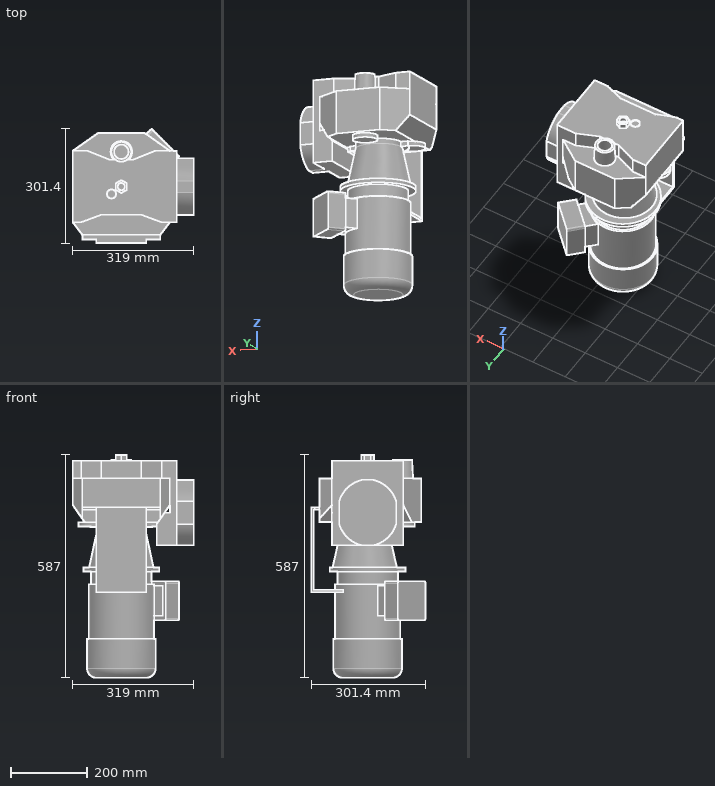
import cadquery as cq
import math


HOUSING_HALF_X = 128.0
HOUSING_HALF_Y = 94.0
HOUSING_TOP = 137.0
HOUSING_BOTTOM = -25.0
WING_TOP = 90.0
WING_FRONT_Y = -127.2
WING_FRONT_HALF_X = 102.7
WING_BACK_Y = 141.3
WING_BACK_HALF_X = 61.0

SLANT_TOP_Z = 20.0
SLANT_RUN_PER_RISE = 0.70
SLANT_BOTTOM_HALF_X = HOUSING_HALF_X - SLANT_RUN_PER_RISE * (SLANT_TOP_Z - HOUSING_BOTTOM)

FRONT_WAIST_Y = -74.3
FRONT_WAIST_INNER_HALF_X = 53.0
FRONT_WAIST_OUTER_HALF_X = 106.0
BACK_WAIST_Y = 70.0
BACK_WAIST_INNER_HALF_X = 29.5
BACK_WAIST_OUTER_HALF_X = 88.5

BLOCK_END_X = 146.0
BLOCK_FOOT_X = 92.7
BLOCK_STEP_Z = 0.0
FLANGE_END_X = 191.0
FLANGE_WIDTH = 150.0
FLANGE_HEIGHT = 172.0
FLANGE_SIDE_FLAT = 60.0
FLANGE_END_FLAT = 31.0
FLANGE_CORNER_RADIUS = 82.0
BLOCK_BOTTOM = -FLANGE_HEIGHT / 2

HEX_ACROSS_FLATS = 29.5
HEX_HEIGHT = 15.0
HEX_BORE_RADIUS = 9.5
RECESS_X = -25.8
RECESS_Y = -19.5
RECESS_RADIUS = 12.0
RECESS_DEPTH = 3.0
TUBE_Y = 91.5
TUBE_TOP = 139.0
TUBE_BASE_RADIUS = 28.5
TUBE_TOP_RADIUS = 26.0
TUBE_BORE_RADIUS = 19.0

PAD_CENTERS = ((0.0, TUBE_Y), (-80.0, -46.5), (80.0, -46.5))
PAD_RADIUS = 33.0
PAD_BOTTOM = -36.5
ADAPTER_Y = -7.7
ADAPTER_TOP_RADIUS = 62.0
ADAPTER_FOOT_RADIUS = 85.0
COLLAR_RADIUS = 82.0
COLLAR_BOTTOM = -38.0

MOTOR_TOP = -144.0
MOTOR_FLANGE_BOTTOM = -155.0
NECK_BOTTOM = -188.0
CAP_TOP = -332.0
OVERALL_HEIGHT = 587.0
MOTOR_BOTTOM = HOUSING_TOP + HEX_HEIGHT - OVERALL_HEIGHT
MOTOR_FLANGE_RADIUS = 100.0
NECK_RADIUS = 80.0
FRAME_RADIUS = 86.5
CAP_RADIUS = 90.8
CAP_FILLET = 26.0

BOX_ANGLE = 45.0
BOX_SIZE = 103.0
BOX_INNER = 114.5
BOX_OUTER = 164.0
BOX_CENTER_Z = -231.7
BOX_CORNER_RADIUS = 5.0
PEDESTAL_SIZE = 80.0
PEDESTAL_START = 60.0

BRACKET_OUTER_Y = -149.0
BRACKET_THICKNESS = 7.5
BRACKET_HALF_X = 66.0
BRACKET_TOP = 14.8
BRACKET_BOTTOM = -210.0
LIP_OUTER_Y = -139.8
FOOT_TIP_Y = -64.4
FOOT_MOTOR_GAP = 0.5
FOOT_NOTCH_Y = -(FRAME_RADIUS + FOOT_MOTOR_GAP)
FOOT_NOTCH_HALF_X = 33.5


def box_between(x_range, y_range, z_range):
    """Box spanning the given (low, high) ranges."""
    (x0, x1), (y0, y1), (z0, z1) = x_range, y_range, z_range
    return cq.Workplane("XY").box(x1 - x0, y1 - y0, z1 - z0, centered=False).translate((x0, y0, z0))


def cylinder_between(x, y, radius, z_low, z_high):
    """Upright cylinder from z_low to z_high."""
    return cq.Workplane("XY", origin=(x, y, z_low)).circle(radius).extrude(z_high - z_low)


def cone_between(x, y, low_radius, high_radius, z_low, z_high):
    """Upright truncated cone from z_low to z_high."""
    axis = cq.Vector(0, 0, 1)
    cone = cq.Solid.makeCone(low_radius, high_radius, z_high - z_low, cq.Vector(x, y, z_low), axis)
    return cq.Workplane(obj=cone)


def winged_body():
    """Lower housing: an eight-sided plan with both long sides slanted inward at the bottom."""
    plan = [
        (-HOUSING_HALF_X, -HOUSING_HALF_Y),
        (-WING_FRONT_HALF_X, WING_FRONT_Y),
        (WING_FRONT_HALF_X, WING_FRONT_Y),
        (HOUSING_HALF_X, -HOUSING_HALF_Y),
        (HOUSING_HALF_X, HOUSING_HALF_Y),
        (WING_BACK_HALF_X, WING_BACK_Y),
        (-WING_BACK_HALF_X, WING_BACK_Y),
        (-HOUSING_HALF_X, HOUSING_HALF_Y),
    ]
    profile = [
        (-SLANT_BOTTOM_HALF_X, HOUSING_BOTTOM),
        (SLANT_BOTTOM_HALF_X, HOUSING_BOTTOM),
        (HOUSING_HALF_X, SLANT_TOP_Z),
        (HOUSING_HALF_X, WING_TOP),
        (-HOUSING_HALF_X, WING_TOP),
        (-HOUSING_HALF_X, SLANT_TOP_Z),
    ]
    body = cq.Workplane("XY", origin=(0, 0, HOUSING_BOTTOM)).polyline(plan).close()
    body = body.extrude(WING_TOP - HOUSING_BOTTOM)
    envelope = cq.Workplane("XZ", origin=(0, WING_BACK_Y, 0)).polyline(profile).close()
    return body.intersect(envelope.extrude(WING_BACK_Y - WING_FRONT_Y))


def waisted_top():
    """Upper housing with a trapezoidal waist in its front and back."""
    plan = [
        (-HOUSING_HALF_X, -HOUSING_HALF_Y),
        (-FRONT_WAIST_OUTER_HALF_X, -HOUSING_HALF_Y),
        (-FRONT_WAIST_INNER_HALF_X, FRONT_WAIST_Y),
        (FRONT_WAIST_INNER_HALF_X, FRONT_WAIST_Y),
        (FRONT_WAIST_OUTER_HALF_X, -HOUSING_HALF_Y),
        (BLOCK_END_X, -HOUSING_HALF_Y),
        (BLOCK_END_X, HOUSING_HALF_Y),
        (BACK_WAIST_OUTER_HALF_X, HOUSING_HALF_Y),
        (BACK_WAIST_INNER_HALF_X, BACK_WAIST_Y),
        (-BACK_WAIST_INNER_HALF_X, BACK_WAIST_Y),
        (-BACK_WAIST_OUTER_HALF_X, HOUSING_HALF_Y),
        (-HOUSING_HALF_X, HOUSING_HALF_Y),
    ]
    top = cq.Workplane("XY", origin=(0, 0, WING_TOP)).polyline(plan).close()
    return top.extrude(HOUSING_TOP - WING_TOP)


def output_block():
    """Stepped block on the +X side, its foot lying against the slanted housing face."""
    slant_x_at_step = HOUSING_HALF_X - SLANT_RUN_PER_RISE * (SLANT_TOP_Z - BLOCK_STEP_Z)
    slant_z_at_foot = SLANT_TOP_Z - (HOUSING_HALF_X - BLOCK_FOOT_X) / SLANT_RUN_PER_RISE
    profile = [
        (BLOCK_FOOT_X, BLOCK_BOTTOM),
        (BLOCK_END_X, BLOCK_BOTTOM),
        (BLOCK_END_X, WING_TOP),
        (HOUSING_HALF_X, WING_TOP),
        (HOUSING_HALF_X, BLOCK_STEP_Z),
        (slant_x_at_step, BLOCK_STEP_Z),
        (BLOCK_FOOT_X, slant_z_at_foot),
    ]
    block = cq.Workplane("XZ", origin=(0, HOUSING_HALF_Y, 0)).polyline(profile).close()
    return block.extrude(2 * HOUSING_HALF_Y)


def output_flange():
    """Flange with four flats joined by corner arcs that meet the flats at a slight angle."""
    side_y = FLANGE_WIDTH / 2
    side_z = FLANGE_SIDE_FLAT / 2
    end_y = FLANGE_END_FLAT / 2
    end_z = FLANGE_HEIGHT / 2
    outline = cq.Workplane("YZ", origin=(BLOCK_END_X, 0, 0)).moveTo(side_y, -side_z)
    outline = outline.lineTo(side_y, side_z).radiusArc((end_y, end_z), -FLANGE_CORNER_RADIUS)
    outline = outline.lineTo(-end_y, end_z).radiusArc((-side_y, side_z), -FLANGE_CORNER_RADIUS)
    outline = outline.lineTo(-side_y, -side_z).radiusArc((-end_y, -end_z), -FLANGE_CORNER_RADIUS)
    outline = outline.lineTo(end_y, -end_z).radiusArc((side_y, -side_z), -FLANGE_CORNER_RADIUS)
    return outline.close().extrude(FLANGE_END_X - BLOCK_END_X)


def hex_fitting():
    """Bored hexagon standing on the housing top, corners toward +Y and -Y."""
    across_corners = HEX_ACROSS_FLATS / math.cos(math.radians(30))
    fitting = cq.Workplane("XY", origin=(0, 0, HOUSING_TOP)).polygon(6, across_corners)
    fitting = fitting.extrude(HEX_HEIGHT).rotate((0, 0, 0), (0, 0, 1), 30)
    return fitting.cut(cylinder_between(0, 0, HEX_BORE_RADIUS, HOUSING_TOP, HOUSING_TOP + HEX_HEIGHT))


def collar():
    """D-shaped collar under the housing, its flat side through the adapter axis."""
    disc = cylinder_between(0, 0, COLLAR_RADIUS, COLLAR_BOTTOM, HOUSING_BOTTOM)
    front = box_between(
        (-COLLAR_RADIUS, COLLAR_RADIUS), (-COLLAR_RADIUS, ADAPTER_Y), (COLLAR_BOTTOM, HOUSING_BOTTOM)
    )
    return disc.intersect(front)


def make_housing():
    """Gear housing with its output flange, fittings, pads and motor adapter."""
    body = winged_body().union(waisted_top()).union(output_block()).union(output_flange())
    body = body.union(hex_fitting())
    body = body.cut(
        cylinder_between(RECESS_X, RECESS_Y, RECESS_RADIUS, HOUSING_TOP - RECESS_DEPTH, HOUSING_TOP)
    )
    tube = cone_between(0, TUBE_Y, TUBE_BASE_RADIUS, TUBE_TOP_RADIUS, WING_TOP, TUBE_TOP)
    body = body.union(tube).cut(cylinder_between(0, TUBE_Y, TUBE_BORE_RADIUS, WING_TOP, TUBE_TOP))
    for pad_x, pad_y in PAD_CENTERS:
        body = body.union(cylinder_between(pad_x, pad_y, PAD_RADIUS, PAD_BOTTOM, HOUSING_BOTTOM))
    body = body.union(collar())
    body = body.union(
        cylinder_between(0, ADAPTER_Y, ADAPTER_TOP_RADIUS, COLLAR_BOTTOM, HOUSING_BOTTOM)
    )
    return body.union(
        cone_between(0, ADAPTER_Y, ADAPTER_FOOT_RADIUS, ADAPTER_TOP_RADIUS, MOTOR_TOP, COLLAR_BOTTOM)
    )


def terminal_box():
    """Box with rounded corners on a square pedestal, built toward +X and turned into place."""
    pedestal = cq.Workplane("YZ", origin=(PEDESTAL_START, 0, BOX_CENTER_Z))
    pedestal = pedestal.rect(PEDESTAL_SIZE, PEDESTAL_SIZE).extrude(BOX_INNER - PEDESTAL_START)
    cover = cq.Workplane("YZ", origin=(BOX_INNER, 0, BOX_CENTER_Z)).rect(BOX_SIZE, BOX_SIZE)
    cover = cover.extrude(BOX_OUTER - BOX_INNER).edges("|X").fillet(BOX_CORNER_RADIUS)
    return pedestal.union(cover).rotate((0, 0, 0), (0, 0, 1), BOX_ANGLE)


def make_motor():
    """Motor with flange, neck, frame, rounded fan cap and terminal box."""
    cap = cylinder_between(0, 0, CAP_RADIUS, MOTOR_BOTTOM, CAP_TOP).faces("<Z").edges().fillet(CAP_FILLET)
    frame = cylinder_between(0, 0, FRAME_RADIUS, CAP_TOP, NECK_BOTTOM)
    neck = cylinder_between(0, 0, NECK_RADIUS, NECK_BOTTOM, MOTOR_FLANGE_BOTTOM)
    flange = cylinder_between(0, 0, MOTOR_FLANGE_RADIUS, MOTOR_FLANGE_BOTTOM, MOTOR_TOP)
    return cap.union(frame).union(neck).union(flange).union(terminal_box())


def make_bracket():
    """Upright plate hung from a lip on the housing front, with a notched foot near the motor."""
    plate_x = (-BRACKET_HALF_X, BRACKET_HALF_X)
    lip_z = (BRACKET_TOP - BRACKET_THICKNESS, BRACKET_TOP)
    plate_inner_y = BRACKET_OUTER_Y + BRACKET_THICKNESS
    plate = box_between(plate_x, (BRACKET_OUTER_Y, plate_inner_y), (BRACKET_BOTTOM, BRACKET_TOP))
    tongue = box_between(plate_x, (plate_inner_y, LIP_OUTER_Y), lip_z)
    lip = box_between((-WING_FRONT_HALF_X, WING_FRONT_HALF_X), (LIP_OUTER_Y, WING_FRONT_Y), lip_z)
    foot_outline = [
        (-BRACKET_HALF_X, plate_inner_y),
        (BRACKET_HALF_X, plate_inner_y),
        (BRACKET_HALF_X, FOOT_TIP_Y),
        (FOOT_NOTCH_HALF_X, FOOT_NOTCH_Y),
        (-FOOT_NOTCH_HALF_X, FOOT_NOTCH_Y),
        (-BRACKET_HALF_X, FOOT_TIP_Y),
    ]
    foot = cq.Workplane("XY", origin=(0, 0, BRACKET_BOTTOM)).polyline(foot_outline).close()
    return plate.union(tongue).union(lip).union(foot.extrude(BRACKET_THICKNESS))


housing = make_housing()
motor = make_motor()
bracket = make_bracket()

result = cq.Compound.makeCompound([body.solids().val() for body in (housing, motor, bracket)])